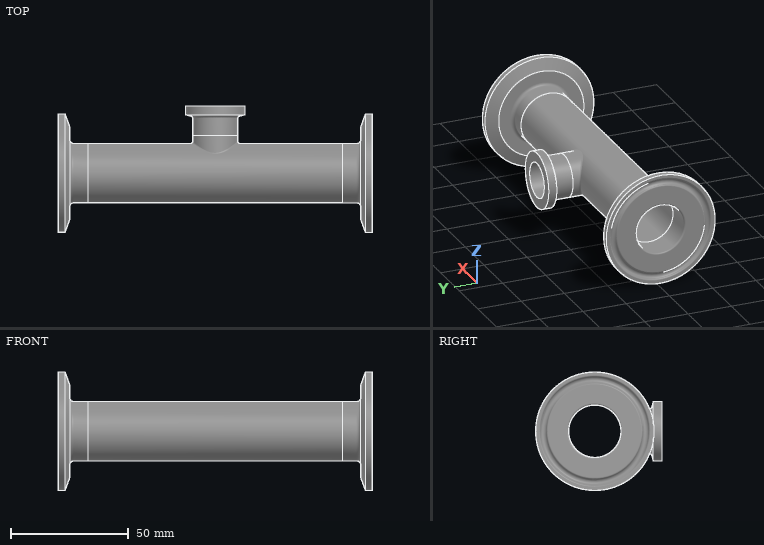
import cadquery as cq
import math

run_length = 133.4
ferrule_length = 12.5

run_outer_radius = 12.7
run_bore_radius = 11.1
end_flange_radius = 25.2
end_rim_thickness = 3.0
end_flange_thickness = 5.0
end_neck_fillet = 1.6
mouth_fillet = 0.8

groove_radius = 21.7
groove_mouth_width = 3.0
groove_depth = 1.2
groove_lip_fillet = 0.7

branch_face_y = 28.5
branch_outer_radius = 9.6
branch_bore_radius = 7.9
branch_flange_radius = 12.7
branch_rim_thickness = 3.7
branch_neck_fillet = 1.0
branch_root_fillet = 0.8

end_flange_slope = math.tan(math.radians(20))
branch_flange_slope = math.tan(math.radians(15))
tee_run_length = run_length - 2 * ferrule_length
branch_seam_y = branch_face_y - ferrule_length


def make_tee():
    """Run tube with a short branch, filleted at the junction and bored through."""
    run = cq.Workplane("YZ").circle(run_outer_radius).extrude(tee_run_length / 2, both=True)
    branch = cq.Workplane("XZ").circle(branch_outer_radius).extrude(-branch_seam_y)
    tee = run.union(branch)
    reach = branch_outer_radius + branch_root_fillet
    junction_top = run_outer_radius + branch_root_fillet
    junction_box = cq.selectors.BoxSelector((-reach, 0, -reach), (reach, junction_top, reach))
    tee = tee.edges(junction_box).edges("not(%LINE)").fillet(branch_root_fillet)
    run_bore = cq.Workplane("YZ").circle(run_bore_radius).extrude(tee_run_length / 2, both=True)
    branch_bore = cq.Workplane("XZ").circle(branch_bore_radius).extrude(-branch_seam_y)
    return tee.cut(run_bore).cut(branch_bore)


def make_gasket_groove():
    """Ring of circular-segment section, opening at X = 0."""
    half_mouth = groove_mouth_width / 2
    return (
        cq.Workplane("XY")
        .moveTo(0, groove_radius - half_mouth)
        .threePointArc((groove_depth, groove_radius), (0, groove_radius + half_mouth))
        .close()
        .revolve(360, (0, 0, 0), (1, 0, 0))
    )


def make_end_ferrule():
    """Clamp ferrule with its face at X = 0 and its neck toward +X."""
    cone_end_radius = end_flange_radius - (end_flange_thickness - end_rim_thickness) / end_flange_slope
    body = (
        cq.Workplane("XY")
        .moveTo(0, run_bore_radius)
        .lineTo(0, end_flange_radius)
        .lineTo(end_rim_thickness, end_flange_radius)
        .lineTo(end_flange_thickness, cone_end_radius)
        .lineTo(end_flange_thickness, run_outer_radius)
        .lineTo(ferrule_length, run_outer_radius)
        .lineTo(ferrule_length, run_bore_radius)
        .close()
        .revolve(360, (0, 0, 0), (1, 0, 0))
    )
    smallest_circle = cq.selectors.RadiusNthSelector(0)
    flange_back = body.faces("|X").faces(">X[-2]")
    body = flange_back.edges(smallest_circle).fillet(end_neck_fillet)
    body = body.faces("<X").edges(smallest_circle).fillet(mouth_fillet)
    body = body.cut(make_gasket_groove())
    face_edges = body.faces("<X").edges("%CIRCLE")
    inner_lip = cq.selectors.RadiusNthSelector(1)
    outer_lip = cq.selectors.RadiusNthSelector(2)
    return face_edges.edges(inner_lip + outer_lip).fillet(groove_lip_fillet)


def make_branch_ferrule():
    """Small ferrule on the branch, with a plain face and a conical flange back."""
    rim_y = branch_face_y - branch_rim_thickness
    cone_end_y = rim_y - (branch_flange_radius - branch_outer_radius) * branch_flange_slope
    body = (
        cq.Workplane("XY")
        .moveTo(branch_bore_radius, branch_face_y)
        .lineTo(branch_flange_radius, branch_face_y)
        .lineTo(branch_flange_radius, rim_y)
        .lineTo(branch_outer_radius, cone_end_y)
        .lineTo(branch_outer_radius, branch_seam_y)
        .lineTo(branch_bore_radius, branch_seam_y)
        .close()
        .revolve(360, (0, 0, 0), (0, 1, 0))
    )
    return body.edges("%CIRCLE").edges(">>Y[-3]").fillet(branch_neck_fillet)


tee = make_tee()
branch_ferrule = make_branch_ferrule()
end_ferrules = []
for turn in (0, 180):
    ferrule = make_end_ferrule().translate((-run_length / 2, 0, 0)).rotate((0, 0, 0), (0, 0, 1), turn)
    end_ferrules.append(ferrule.val())

result = cq.Compound.makeCompound([tee.val(), branch_ferrule.val(), *end_ferrules])